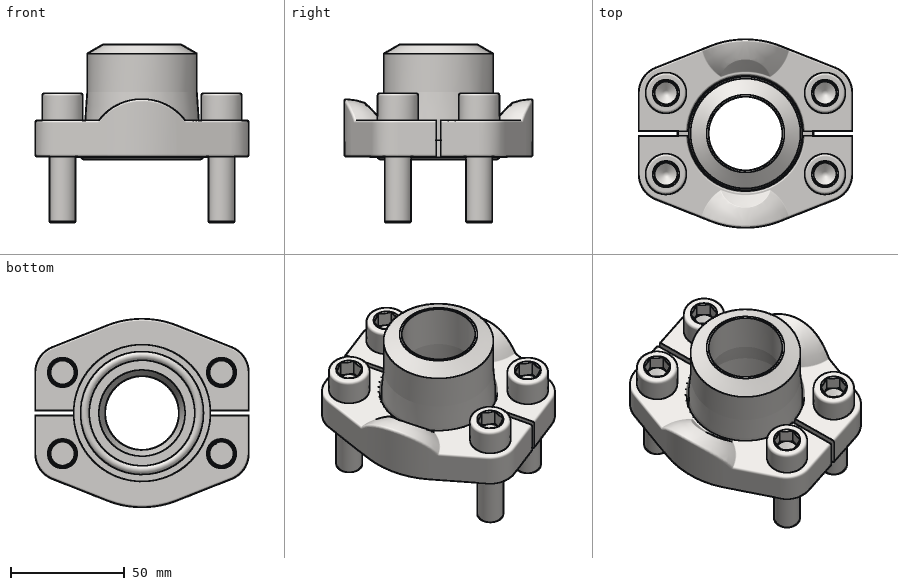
import cadquery as cq
import math

plate_length = 94.0
plate_thickness = 16.0
plate_width = 83.0
plate_crown_radius = plate_width / 2
bolt_spacing_x = 69.9
bolt_spacing_y = 35.7
corner_radius = (plate_length - bolt_spacing_x) / 2
split_gap = 2.1
rim_fillet = 1.0
bolt_hole_diameter = 13.0
bore_top_diameter = 52.0
bore_bottom_diameter = 50.8
bore_edge_fillet = 0.5
boss_sphere_radius = 25.4
boss_fillet = 0.5
relief_foot_radius = 27.3
relief_half_angle = 34.0

hub_top = 49.4
flange_bottom = -0.3
disc_bottom_diameter = 60.3
disc_top_diameter = 59.1
disc_top = 7.2
pipe_diameter = 48.3
hub_diameter = 50.0
taper_start = 16.4
taper_end = 28.5
pipe_bore_diameter = 32.3
hub_bore_diameter = 38.0
weld_face_diameter = 34.2
weld_bevel_angle = 30.0

ring_outer_diameter = 54.1
ring_inner_diameter = 46.4
ring_bottom = -1.3
ring_section_radius = (ring_outer_diameter - ring_inner_diameter) / 4
ring_centre_radius = (ring_outer_diameter + ring_inner_diameter) / 4
groove_top = ring_bottom + 2 * ring_section_radius

shank_diameter = 11.7
screw_bottom = -29.0
shank_chamfer = 0.6
head_diameter = 18.0
head_height = 12.0
head_edge_fillet = 1.2
socket_flats = 10.0
socket_turn = 8.0
socket_depth = 7.5
socket_mouth_diameter = 11.7
socket_chamfer_angle = 30.0
socket_cone_angle = 120.0

tolerance = 0.01

bolt_points = [
    (side_x * bolt_spacing_x / 2, side_y * bolt_spacing_y / 2)
    for side_x in (-1, 1)
    for side_y in (-1, 1)
]


def at_angle(centre, radius, degrees):
    """Point on a circle at an angle measured from +X."""
    angle = math.radians(degrees)
    return (centre[0] + radius * math.cos(angle), centre[1] + radius * math.sin(angle))


def plate_outline():
    """Crown arcs at +Y and -Y joined by tangent lines to an arc around each corner bolt."""
    corner_x, corner_y = bolt_spacing_x / 2, bolt_spacing_y / 2
    corner_distance = math.hypot(corner_x, corner_y)
    tangent_angle = math.degrees(
        math.atan2(corner_y, corner_x)
        + math.acos((plate_crown_radius - corner_radius) / corner_distance)
    )
    corner = (corner_x, corner_y)
    side = (plate_length / 2, corner_y)
    corner_mid = at_angle(corner, corner_radius, tangent_angle / 2)
    corner_end = at_angle(corner, corner_radius, tangent_angle)
    crown_end = at_angle((0, 0), plate_crown_radius, tangent_angle)

    def flip(point, sign_x, sign_y):
        return (sign_x * point[0], sign_y * point[1])

    return (
        cq.Workplane("XY")
        .moveTo(*side)
        .threePointArc(corner_mid, corner_end)
        .lineTo(*crown_end)
        .threePointArc((0, plate_crown_radius), flip(crown_end, -1, 1))
        .lineTo(*flip(corner_end, -1, 1))
        .threePointArc(flip(corner_mid, -1, 1), flip(side, -1, 1))
        .lineTo(*flip(side, -1, -1))
        .threePointArc(flip(corner_mid, -1, -1), flip(corner_end, -1, -1))
        .lineTo(*flip(crown_end, -1, -1))
        .threePointArc((0, -plate_crown_radius), flip(crown_end, 1, -1))
        .lineTo(*flip(corner_end, 1, -1))
        .threePointArc(flip(corner_mid, 1, -1), flip(side, 1, -1))
        .close()
    )


def crown_boss():
    """Domed boss on the +Y crown: a sphere cut off by the plate outline and by a conical relief."""
    height = boss_sphere_radius
    dome = (
        cq.Workplane("XY")
        .sphere(boss_sphere_radius)
        .rotate((0, 0, 0), (0, 0, 1), -90)
        .translate((0, plate_crown_radius, 0))
    )
    relief_slope = math.tan(math.radians(relief_half_angle))
    relief_top_radius = relief_foot_radius + (height - plate_thickness) * relief_slope
    relief = (
        cq.Workplane("XZ")
        .lineTo(relief_foot_radius, 0)
        .lineTo(relief_foot_radius, plate_thickness)
        .lineTo(relief_top_radius, height)
        .lineTo(0, height)
        .close()
        .revolve(360, (0, 0, 0), (0, 1, 0))
    )
    return dome.intersect(plate_outline().extrude(height)).cut(relief)


def boss_edges(plate):
    """Foot of the dome and of the relief on the flat top, and the curve where the relief meets the dome."""
    dome_foot_radius = math.sqrt(boss_sphere_radius**2 - plate_thickness**2)
    feet = plate.faces("+Z").edges("%CIRCLE").filter(
        lambda arc: min(abs(arc.radius() - dome_foot_radius), abs(arc.radius() - relief_foot_radius)) < tolerance
    )
    relief_curve = plate.edges("%BSPLINE").edges("<Y")
    return feet.add(relief_curve)


def top_rim_edges(plate):
    """Upper edges of the side walls, over the boss as well as along the flat top."""
    walls = plate.faces("not(|Z)").filter(lambda face: face.BoundingBox().zmin < tolerance)
    return walls.edges().filter(lambda edge: edge.BoundingBox().zmin > plate_thickness - 2 * boss_fillet)


def clamp_half():
    """The +Y half of the clamp, trimmed to leave half of the split gap."""
    plate = plate_outline().extrude(plate_thickness).union(crown_boss())
    plate = plate.newObject(boss_edges(plate).vals()).fillet(boss_fillet)
    plate = plate.newObject(top_rim_edges(plate).vals()).fillet(rim_fillet)
    plate = plate.faces("<Z").edges().fillet(rim_fillet)

    opening = (
        cq.Workplane("XZ")
        .moveTo(0, flange_bottom)
        .lineTo(disc_bottom_diameter / 2, flange_bottom)
        .lineTo(disc_top_diameter / 2, disc_top)
        .lineTo(bore_bottom_diameter / 2, disc_top)
        .lineTo(bore_top_diameter / 2, plate_thickness - bore_edge_fillet)
        .radiusArc((bore_top_diameter / 2 + bore_edge_fillet, plate_thickness), bore_edge_fillet)
        .lineTo(0, plate_thickness)
        .close()
        .revolve(360, (0, 0, 0), (0, 1, 0))
    )
    bolt_holes = (
        cq.Workplane("XY").pushPoints(bolt_points).circle(bolt_hole_diameter / 2).extrude(plate_thickness)
    )
    keep = cq.Workplane("XY").box(
        plate_length, plate_length, plate_length, centered=(True, False, True)
    ).translate((0, split_gap / 2, 0))
    return plate.cut(opening).cut(bolt_holes).intersect(keep)


def weld_flange():
    """Pipe stub on a tapered hub and a clamping disc, bored through, with an O-ring groove below."""
    bevel_run = (pipe_diameter - weld_face_diameter) / 2
    bevel_bottom = hub_top - bevel_run * math.tan(math.radians(weld_bevel_angle))
    body = (
        cq.Workplane("XZ")
        .moveTo(hub_bore_diameter / 2, flange_bottom)
        .lineTo(disc_bottom_diameter / 2, flange_bottom)
        .lineTo(disc_top_diameter / 2, disc_top)
        .lineTo(hub_diameter / 2, disc_top)
        .lineTo(hub_diameter / 2, taper_start)
        .lineTo(pipe_diameter / 2, taper_end)
        .lineTo(pipe_diameter / 2, bevel_bottom)
        .lineTo(weld_face_diameter / 2, hub_top)
        .lineTo(pipe_bore_diameter / 2, hub_top)
        .lineTo(pipe_bore_diameter / 2, taper_end)
        .lineTo(hub_bore_diameter / 2, taper_start)
        .close()
        .revolve(360, (0, 0, 0), (0, 1, 0))
    )
    groove = (
        cq.Workplane("XY", origin=(0, 0, flange_bottom))
        .circle(ring_outer_diameter / 2)
        .circle(ring_inner_diameter / 2)
        .extrude(groove_top - flange_bottom)
    )
    return body.cut(groove)


def seal_ring():
    """O-ring seated on the groove floor, standing proud of the underside of the flange."""
    return (
        cq.Workplane("XZ")
        .moveTo(ring_centre_radius, groove_top - ring_section_radius)
        .circle(ring_section_radius)
        .revolve(360, (0, 0, 0), (0, 1, 0))
    )


def cap_screw(point):
    """Socket head cap screw with its head on the flat top of the clamp."""
    head_top = plate_thickness + head_height
    head = (
        cq.Workplane("XY", origin=(0, 0, plate_thickness))
        .circle(head_diameter / 2)
        .extrude(head_height)
        .faces(">Z")
        .edges()
        .fillet(head_edge_fillet)
    )
    shank = (
        cq.Workplane("XY", origin=(0, 0, screw_bottom))
        .circle(shank_diameter / 2)
        .extrude(plate_thickness - screw_bottom)
        .faces("<Z")
        .edges()
        .chamfer(shank_chamfer)
    )
    socket_corner_diameter = socket_flats / math.cos(math.pi / 6)
    socket = (
        cq.Workplane("XY", origin=(0, 0, head_top - socket_depth))
        .transformed(rotate=(0, 0, socket_turn + 30))
        .polygon(6, socket_corner_diameter)
        .extrude(socket_depth)
    )
    mouth_radius = socket_mouth_diameter / 2
    mouth = cq.Solid.makeCone(
        mouth_radius,
        0,
        mouth_radius * math.tan(math.radians(socket_chamfer_angle)),
        cq.Vector(0, 0, head_top),
        cq.Vector(0, 0, -1),
    )
    tip_radius = socket_flats / 2
    tip = cq.Solid.makeCone(
        tip_radius,
        0,
        tip_radius / math.tan(math.radians(socket_cone_angle / 2)),
        cq.Vector(0, 0, head_top - socket_depth),
        cq.Vector(0, 0, -1),
    )
    screw = head.union(shank).cut(socket).cut(cq.Workplane(mouth)).cut(cq.Workplane(tip))
    return screw.translate((point[0], point[1], 0))


upper_clamp = clamp_half()
lower_clamp = upper_clamp.mirror("XZ")
flange = weld_flange()
ring = seal_ring()
screws = [cap_screw(point) for point in bolt_points]

result = cq.Compound.makeCompound(
    [
        upper_clamp.val(),
        lower_clamp.val(),
        flange.val(),
        ring.val(),
        *[screw.val() for screw in screws],
    ]
)